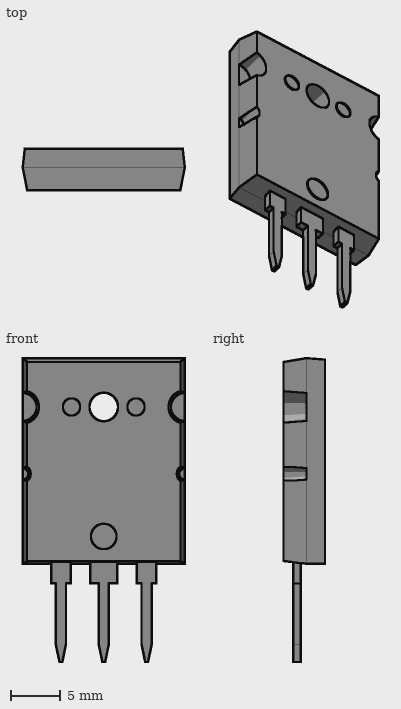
import cadquery as cq


total_height = 30.77
body_width = 16.43
body_height = 20.83
front_depth = 2.35
back_depth = 1.9
body_bottom = total_height - body_height

front_side_inset = 0.45
front_top_inset = 0.4
front_bottom_inset = 0.28
back_side_inset = 0.22
back_top_inset = 0.15
back_bottom_inset = 0.0

hole_level = total_height - 4.95
hole_diameter = 2.85

large_notch_radius = 1.42
small_notch_radius = 0.6
small_notch_level = total_height - 11.72
notch_flare = 0.25

mark_depth = 0.1
small_mark_diameter = 1.75
small_mark_offset = 3.25
large_mark_diameter = 2.6
large_mark_level = total_height - 18.05

lead_pitch = 4.35
lead_thickness = 0.8
lead_back_offset = 0.55
lead_width = 1.05
tip_width = 0.3
tip_height = 1.8
shoulder_bottom = 7.97
outer_shoulder_width = 2.0
middle_shoulder_width = 2.75
lead_embed = 0.92


def front_plane(y):
    """XZ sketch plane at the given Y; extrusion runs toward -Y."""
    return cq.Workplane("XZ", origin=(0, y, 0))


def tapered_block(end_y, side_inset, top_inset, bottom_inset):
    """Half of the body, lofted from the parting outline to an inset outer face."""
    end_width = body_width - 2 * side_inset
    end_height = body_height - top_inset - bottom_inset
    parting_middle = body_bottom + body_height / 2
    middle_shift = (bottom_inset - top_inset) / 2
    return (
        front_plane(0)
        .center(0, parting_middle)
        .rect(body_width, body_height)
        .workplane(offset=-end_y)
        .center(0, middle_shift)
        .rect(end_width, end_height)
        .loft(ruled=True)
    )


def edge_notch(x, level, radius):
    """Conical cutter running from the parting plane to the front face."""
    cone = cq.Solid.makeCone(
        radius,
        radius + notch_flare,
        front_depth,
        pnt=cq.Vector(x, 0, level),
        dir=cq.Vector(0, -1, 0),
    )
    return cq.Workplane(cone)


def ejector_mark(x, level, diameter):
    """Shallow disc cutter at the front face."""
    floor_y = mark_depth - front_depth
    return front_plane(floor_y).center(x, level).circle(diameter / 2).extrude(mark_depth)


def lead(x, shoulder_width):
    """Flat lead with a wide shoulder below the body and a pointed tip."""
    half_profile = [
        (tip_width / 2, 0),
        (lead_width / 2, tip_height),
        (lead_width / 2, shoulder_bottom),
        (shoulder_width / 2, shoulder_bottom),
        (shoulder_width / 2, body_bottom + lead_embed),
    ]
    mirrored_profile = [(-px, pz) for px, pz in reversed(half_profile)]
    return (
        front_plane(-lead_back_offset)
        .center(x, 0)
        .polyline(half_profile + mirrored_profile)
        .close()
        .extrude(lead_thickness)
    )


front_half = tapered_block(-front_depth, front_side_inset, front_top_inset, front_bottom_inset)
back_half = tapered_block(back_depth, back_side_inset, back_top_inset, back_bottom_inset)
body = front_half.union(back_half)

mounting_hole = (
    front_plane(back_depth)
    .center(0, hole_level)
    .circle(hole_diameter / 2)
    .extrude(back_depth + front_depth)
)
body = body.cut(mounting_hole)

for side in (-1, 1):
    edge_x = side * body_width / 2
    body = body.cut(edge_notch(edge_x, hole_level, large_notch_radius))
    body = body.cut(edge_notch(edge_x, small_notch_level, small_notch_radius))
    body = body.cut(ejector_mark(side * small_mark_offset, hole_level, small_mark_diameter))

body = body.cut(ejector_mark(0, large_mark_level, large_mark_diameter))

result = body.union(lead(0, middle_shoulder_width))
for side in (-1, 1):
    result = result.union(lead(side * lead_pitch, outer_shoulder_width))